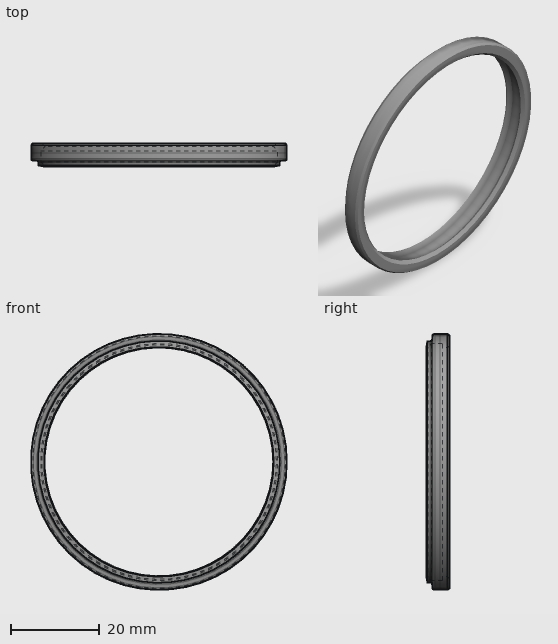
import cadquery as cq

ring_depth = 5.29
rear_y = ring_depth / 2
front_y = -ring_depth / 2

rim_radius = 57.84 / 2
flared_radius = 57.86 / 2
flare_start_y = rear_y - 2.2
rear_chamfer_depth = 0.52
rear_chamfer_width = 0.4
rim_fillet = 0.55

shoulder_outer_y = rear_y - 3.95
shoulder_inner_y = rear_y - 4.0

lip_radius = 27.3
root_fillet = 0.3
lip_edge_y = front_y + 0.25

land_radius = 25.95
land_rear_y = front_y + 0.3
ridge_radius = 25.8
ridge_y = front_y + 4.6
groove_radius = 26.77
groove_front_y = land_rear_y + (groove_radius - land_radius)
groove_rear_y = ridge_y - (groove_radius - ridge_radius)
bore_rear_radius = ridge_radius + (rear_y - ridge_y)


def ring_section():
    """Half section of the ring, radius along X and the ring axis along Y."""
    return (
        cq.Workplane("XY")
        .moveTo(bore_rear_radius, rear_y)
        .lineTo(flared_radius - rear_chamfer_width, rear_y)
        .lineTo(flared_radius, rear_y - rear_chamfer_depth)
        .lineTo(rim_radius, flare_start_y)
        .lineTo(rim_radius, shoulder_outer_y + rim_fillet)
        .radiusArc((rim_radius - rim_fillet, shoulder_outer_y), rim_fillet)
        .lineTo(lip_radius + root_fillet, shoulder_inner_y)
        .radiusArc((lip_radius, shoulder_inner_y - root_fillet), -root_fillet)
        .lineTo(lip_radius, lip_edge_y)
        .lineTo(land_radius, front_y)
        .lineTo(land_radius, land_rear_y)
        .lineTo(groove_radius, groove_front_y)
        .lineTo(groove_radius, groove_rear_y)
        .lineTo(ridge_radius, ridge_y)
        .close()
    )


result = ring_section().revolve(360, (0, 0, 0), (0, 1, 0))